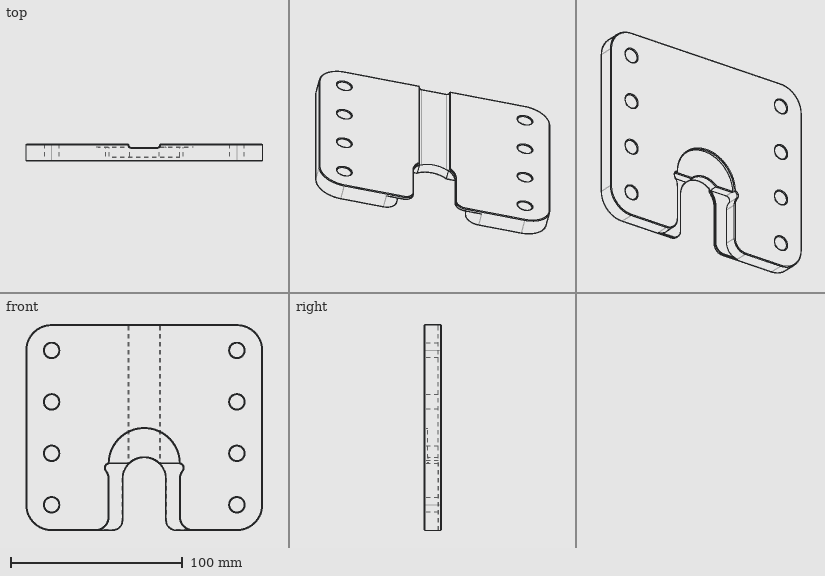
import cadquery as cq
import math

WIDTH = 138.0
THICKNESS = 10.0
HEIGHT = 120.0
CORNER_RADIUS = 15.0
EDGE_CHAMFER = 0.5

HOLE_DIAMETER = 8.5
HOLE_COLUMN_X = 54.0
HOLE_FIRST_Z = 15.0
HOLE_PITCH = 30.0
HOLES_PER_COLUMN = 4

SLOT_WIDTH = 25.0
SLOT_ARC_Z = 30.0
SLOT_TOP_Z = SLOT_ARC_Z + SLOT_WIDTH / 2
SLOT_MOUTH_RADIUS = 6.0

WEB_THICKNESS = 2.0
WEB_CHAMFER = 0.3
CHANNEL_HALF_WIDTH = 20.5
CHANNEL_TOP_Z = 39.0
CHANNEL_MOUTH_RADIUS = 8.0

EAR_RADIUS = 2.5
EAR_REACH = 2.2
EAR_BLEND_RADIUS = 8.5

RECESS_RADIUS = CHANNEL_HALF_WIDTH
RECESS_CENTER_Z = CHANNEL_TOP_Z
RECESS_DEPTH = 2.0

GROOVE_WIDTH = 18.0
GROOVE_DEPTH = 2.0
GROOVE_RIM_WIDTH = GROOVE_WIDTH + 2 * EDGE_CHAMFER
GROOVE_FLOOR_Y = THICKNESS - GROOVE_DEPTH


def extrude_back(profile, depth):
    """Extrude an XZ-plane profile from the front face toward the back."""
    return profile.extrude(-depth)


def make_plate():
    outline = cq.Workplane("XZ").center(0, HEIGHT / 2).rect(WIDTH, HEIGHT)
    return extrude_back(outline, THICKNESS).edges("|Y").fillet(CORNER_RADIUS)


def make_holes():
    places = [
        (side * HOLE_COLUMN_X, HOLE_FIRST_Z + row * HOLE_PITCH)
        for side in (-1, 1)
        for row in range(HOLES_PER_COLUMN)
    ]
    return extrude_back(cq.Workplane("XZ").pushPoints(places).circle(HOLE_DIAMETER / 2), THICKNESS)


def start_at_mouth(side, half_width, mouth_radius):
    """Run along the bottom edge, then round the mouth corner up onto the wall at half_width."""
    offset = mouth_radius * (1 - math.sqrt(0.5))
    middle = (side * (half_width + offset), offset)
    profile = cq.Workplane("XZ").moveTo(0, 0).lineTo(side * (half_width + mouth_radius), 0)
    return profile.threePointArc(middle, (side * half_width, mouth_radius))


def make_slot():
    half = SLOT_WIDTH / 2

    def half_slot(side):
        profile = start_at_mouth(side, half, SLOT_MOUTH_RADIUS).lineTo(side * half, SLOT_ARC_Z)
        arc_middle = (side * half * math.sqrt(0.5), SLOT_ARC_Z + half * math.sqrt(0.5))
        profile = profile.threePointArc(arc_middle, (0, SLOT_TOP_Z)).close()
        return extrude_back(profile, THICKNESS)

    return half_slot(-1).union(half_slot(1))


def make_channel():
    ear_x = CHANNEL_HALF_WIDTH + EAR_REACH - EAR_RADIUS
    ear_z = CHANNEL_TOP_Z - EAR_RADIUS
    blend_x = CHANNEL_HALF_WIDTH + EAR_BLEND_RADIUS
    center_distance = EAR_RADIUS + EAR_BLEND_RADIUS
    blend_angle = math.acos((blend_x - ear_x) / center_distance)
    blend_z = ear_z - center_distance * math.sin(blend_angle)

    def on_blend(angle):
        return blend_x - EAR_BLEND_RADIUS * math.cos(angle), blend_z + EAR_BLEND_RADIUS * math.sin(angle)

    def half_channel(side):
        def mirrored(point):
            return side * point[0], point[1]

        profile = start_at_mouth(side, CHANNEL_HALF_WIDTH, CHANNEL_MOUTH_RADIUS)
        profile = profile.lineTo(*mirrored(on_blend(0)))
        profile = profile.threePointArc(mirrored(on_blend(blend_angle / 2)), mirrored(on_blend(blend_angle)))
        profile = profile.threePointArc(mirrored((ear_x + EAR_RADIUS, ear_z)), mirrored((ear_x, CHANNEL_TOP_Z)))
        profile = profile.lineTo(0, CHANNEL_TOP_Z).close()
        return extrude_back(profile, THICKNESS - WEB_THICKNESS)

    return half_channel(-1).union(half_channel(1))


def make_recess():
    disc = cq.Workplane("XZ").center(0, RECESS_CENTER_Z).circle(RECESS_RADIUS)
    return extrude_back(disc, RECESS_DEPTH)


def make_groove():
    wall_x = GROOVE_WIDTH / 2
    bevel_y = THICKNESS - EDGE_CHAMFER
    corner_radius = bevel_y - GROOVE_FLOOR_Y
    floor_x = wall_x - corner_radius
    middle_x = floor_x + corner_radius * math.sqrt(0.5)
    middle_y = bevel_y - corner_radius * math.sqrt(0.5)
    section = (
        cq.Workplane("XY", origin=(0, 0, SLOT_ARC_Z))
        .moveTo(-GROOVE_RIM_WIDTH / 2, THICKNESS)
        .lineTo(-wall_x, bevel_y)
        .threePointArc((-middle_x, middle_y), (-floor_x, GROOVE_FLOOR_Y))
        .lineTo(floor_x, GROOVE_FLOOR_Y)
        .threePointArc((middle_x, middle_y), (wall_x, bevel_y))
        .lineTo(GROOVE_RIM_WIDTH / 2, THICKNESS)
        .close()
    )
    return section.extrude(HEIGHT - SLOT_ARC_Z)


def edges_in_box(body, low, high):
    """Edges whose midpoints lie inside the box, with a small margin for edges on its boundary."""
    margin = 0.1
    low = tuple(value - margin for value in low)
    high = tuple(value + margin for value in high)
    return body.edges(cq.selectors.BoxSelector(low, high))


def chamfer_front(body):
    return body.faces("<Y").edges().chamfer(EDGE_CHAMFER)


def chamfer_back(body):
    """Chamfer the back outline and the top end of the groove; the groove rims are already bevelled."""
    half = GROOVE_RIM_WIDTH / 2
    rim_top_z = HEIGHT - CORNER_RADIUS
    groove_rims = edges_in_box(body, (-half, THICKNESS, SLOT_TOP_Z), (half, THICKNESS, rim_top_z)).vals()
    groove_end = edges_in_box(body, (-half, GROOVE_FLOOR_Y, HEIGHT), (half, THICKNESS, HEIGHT)).vals()
    outline = [edge for edge in body.faces(">Y").edges().vals() if edge not in groove_rims]
    return body.newObject(outline + groove_end).chamfer(EDGE_CHAMFER)


def chamfer_web(body):
    """Chamfer the front rim of the web, along the slot and the bottom edge."""
    web_y = THICKNESS - WEB_THICKNESS
    half = SLOT_WIDTH / 2 + SLOT_MOUTH_RADIUS
    rim = edges_in_box(body, (-half, web_y, 0), (half, web_y, CHANNEL_TOP_Z - EAR_RADIUS))
    return rim.chamfer(WEB_CHAMFER)


def chamfer_recess(body):
    """Chamfer the lower rim of the recess floor, along the channel top and the slot arc."""
    low = (-RECESS_RADIUS, RECESS_DEPTH, CHANNEL_TOP_Z)
    high = (RECESS_RADIUS, RECESS_DEPTH, SLOT_TOP_Z)
    return edges_in_box(body, low, high).chamfer(EDGE_CHAMFER)


body = make_plate()
for make_cutter in (make_holes, make_slot, make_channel, make_recess, make_groove):
    body = body.cut(make_cutter())
for add_chamfer in (chamfer_front, chamfer_back, chamfer_web, chamfer_recess):
    body = add_chamfer(body)
result = body